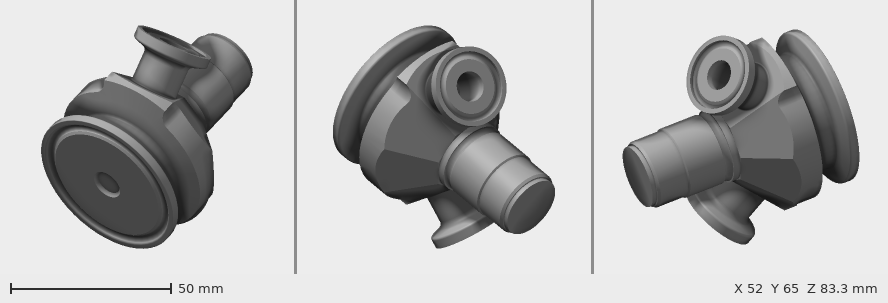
import cadquery as cq
import math

TOTAL_LENGTH = 65.0
CLAMP_SLOPE = math.tan(math.radians(20))
SHARP = 0.0

FLANGE_RADIUS = 50.4 / 2
FLANGE_CONE_Y = 3.0
NECK_RADIUS = 38.0 / 2
NECK_FILLET = 1.0
NECK_BACK_Y = 10.9
RIM_EDGE_ROUND = 0.25
RIM_CONE_ROUND = 0.8

BODY_RADIUS = 26.0
LOBE_RADIUS = 30.0
LOBE_HALF_WIDTH = 11.25
LOBE_FILLET = 4.5
PYRAMID_SIDES = 8
PYRAMID_TOP_Y = 35.0
COLLAR_RADIUS = 24.0 / 2

COLLAR_END_Y = 37.3
STEM_START_Y = 40.0
STEM_RADIUS = 23.0 / 2
RELIEF_RADIUS = 21.8 / 2
STEM_STEP_Y = 52.5
STEM_STEP_CHAMFER = 0.5
STEM_TIP_RADIUS = 22.0 / 2
TIP_CHAMFER_Y = 62.6
TIP_CHAMFER_LENGTH = 0.9
TIP_CHAMFER_RADIUS = 21.0 / 2
SPIGOT_RADIUS = 20.0 / 2

SEAT_RADIUS = 19.7
GROOVE_INNER_RADIUS = 20.5
GROOVE_INNER_DEPTH = 0.6
GROOVE_OUTER_RADIUS = 23.7
GROOVE_DEPTH = 1.4
LIP_ROUND = 0.7
GROOVE_MIDDLE_RADIUS = (GROOVE_INNER_RADIUS + GROOVE_OUTER_RADIUS - LIP_ROUND) / 2
RECESS_MOUTH_RADIUS = 10.0 / 2
RECESS_FLOOR_RADIUS = 8.0 / 2
RECESS_DEPTH = 1.0

PORT_ANGLE = 45
PORT_FACE_Y = 36.75
PORT_FACE_Z = 32.8
PORT_RIM_RADIUS = 12.5
PORT_CONE_DEPTH = 3.4
PORT_TUBE_RADIUS = 15.0 / 2
PORT_NECK_FILLET = 2.0
PORT_BASE_FILLET = 0.5
PORT_SEAT_RADIUS = 8.6
PORT_SEAT_RECESS = 0.7
PORT_GROOVE_INNER = 9.5
PORT_GROOVE_OUTER = 22.0 / 2
PORT_GROOVE_MIDDLE = (PORT_GROOVE_INNER + PORT_GROOVE_OUTER) / 2
PORT_GROOVE_WALL = 1.3
PORT_GROOVE_DEPTH = 1.7
PORT_MOUTH_RADIUS = 4.75
PORT_MOUTH_TAPER = 2.2
PORT_BORE_RADIUS = 9.0 / 2
PORT_LENGTH = (PORT_FACE_Y + PORT_FACE_Z - COLLAR_RADIUS - PYRAMID_TOP_Y) * math.sqrt(0.5)


def shifted(point, target, distance):
    """Point at the given distance from one point towards another."""
    ratio = distance / math.dist(point, target)
    return tuple(p + (t - p) * ratio for p, t in zip(point, target))


def revolved(corners):
    """Revolve an outline of (radius, y, rounding) corners around the Y axis."""
    outline = cq.Workplane("XY").moveTo(*corners[0][:2])
    for i in range(1, len(corners)):
        previous = corners[i - 1][:2]
        corner = corners[i][:2]
        rounding = corners[i][2]
        if not rounding:
            outline = outline.lineTo(*corner)
            continue
        following = corners[i + 1][:2]
        to_previous = shifted((0, 0), (previous[0] - corner[0], previous[1] - corner[1]), 1)
        to_following = shifted((0, 0), (following[0] - corner[0], following[1] - corner[1]), 1)
        half_angle = math.acos(to_previous[0] * to_following[0] + to_previous[1] * to_following[1]) / 2
        start = shifted(corner, previous, rounding / math.tan(half_angle))
        end = shifted(corner, following, rounding / math.tan(half_angle))
        chord_middle = ((start[0] + end[0]) / 2, (start[1] + end[1]) / 2)
        arc_middle = shifted(corner, chord_middle, rounding / math.sin(half_angle) - rounding)
        outline = outline.lineTo(*start).threePointArc(arc_middle, end)
    return outline.close().revolve(360, (0, 0, 0), (0, 1, 0))


def main_cut():
    """Gasket groove and tapered central recess in the clamp face."""
    groove = (
        cq.Workplane("XY")
        .moveTo(SEAT_RADIUS, 0)
        .lineTo(GROOVE_OUTER_RADIUS, 0)
        .threePointArc(
            (GROOVE_OUTER_RADIUS - LIP_ROUND * math.sqrt(0.5), LIP_ROUND * (1 - math.sqrt(0.5))),
            (GROOVE_OUTER_RADIUS - LIP_ROUND, LIP_ROUND),
        )
        .threePointArc((GROOVE_MIDDLE_RADIUS, GROOVE_DEPTH), (GROOVE_INNER_RADIUS, GROOVE_INNER_DEPTH))
        .close()
        .revolve(360, (0, 0, 0), (0, 1, 0))
    )
    recess = revolved([
        (0, 0, SHARP),
        (RECESS_MOUTH_RADIUS, 0, SHARP),
        (RECESS_FLOOR_RADIUS, RECESS_DEPTH, SHARP),
        (0, RECESS_DEPTH, SHARP),
    ])
    return groove.union(recess)


def clamp_neck():
    neck_front_y = FLANGE_CONE_Y + (FLANGE_RADIUS - NECK_RADIUS) * CLAMP_SLOPE
    cone_back_y = NECK_BACK_Y + (LOBE_RADIUS - NECK_RADIUS) * CLAMP_SLOPE
    return revolved([
        (0, 0, SHARP),
        (FLANGE_RADIUS, 0, RIM_EDGE_ROUND),
        (FLANGE_RADIUS, FLANGE_CONE_Y, RIM_CONE_ROUND),
        (NECK_RADIUS, neck_front_y, NECK_FILLET),
        (NECK_RADIUS, NECK_BACK_Y, NECK_FILLET),
        (LOBE_RADIUS, cone_back_y, SHARP),
        (LOBE_RADIUS, PYRAMID_TOP_Y, SHARP),
        (0, PYRAMID_TOP_Y, SHARP),
    ])


def disc(radius, x=0, z=0):
    """Cylinder along Y spanning the clamp face to the pyramid top."""
    return cq.Workplane("XZ").center(x, z).circle(radius).extrude(-PYRAMID_TOP_Y)


def lobed_prism():
    fillet_x = LOBE_HALF_WIDTH + LOBE_FILLET
    fillet_z = math.sqrt((BODY_RADIUS + LOBE_FILLET) ** 2 - fillet_x ** 2)
    touch_x = fillet_x * BODY_RADIUS / (BODY_RADIUS + LOBE_FILLET)
    strip = cq.Workplane("XZ").rect(2 * touch_x, 2 * LOBE_RADIUS).extrude(-PYRAMID_TOP_Y)
    prism = disc(BODY_RADIUS).union(disc(LOBE_RADIUS).intersect(strip))
    for x in (-fillet_x, fillet_x):
        for z in (-fillet_z, fillet_z):
            prism = prism.cut(disc(LOBE_FILLET, x, z))
    return prism


def pyramid():
    corner_scale = 2 / math.cos(math.pi / PYRAMID_SIDES)
    base_apothem = COLLAR_RADIUS + PYRAMID_TOP_Y
    half_step = 180 / PYRAMID_SIDES
    return (
        cq.Workplane("XZ")
        .transformed(rotate=(0, 0, half_step))
        .polygon(PYRAMID_SIDES, base_apothem * corner_scale)
        .workplane(offset=-PYRAMID_TOP_Y)
        .polygon(PYRAMID_SIDES, COLLAR_RADIUS * corner_scale)
        .loft(ruled=True)
    )


def stem():
    step_back_y = STEM_STEP_Y + STEM_STEP_CHAMFER
    tip_end_y = TIP_CHAMFER_Y + TIP_CHAMFER_LENGTH
    return (
        cq.Workplane("XY")
        .moveTo(0, NECK_BACK_Y)
        .lineTo(RELIEF_RADIUS, NECK_BACK_Y)
        .lineTo(RELIEF_RADIUS, PYRAMID_TOP_Y)
        .lineTo(COLLAR_RADIUS, PYRAMID_TOP_Y)
        .lineTo(COLLAR_RADIUS, COLLAR_END_Y)
        .lineTo(STEM_RADIUS, COLLAR_END_Y)
        .threePointArc((RELIEF_RADIUS, (COLLAR_END_Y + STEM_START_Y) / 2), (STEM_RADIUS, STEM_START_Y))
        .lineTo(STEM_RADIUS, STEM_STEP_Y)
        .lineTo(STEM_TIP_RADIUS, step_back_y)
        .lineTo(STEM_TIP_RADIUS, TIP_CHAMFER_Y)
        .lineTo(TIP_CHAMFER_RADIUS, tip_end_y)
        .lineTo(SPIGOT_RADIUS, tip_end_y)
        .lineTo(SPIGOT_RADIUS, TOTAL_LENGTH)
        .lineTo(0, TOTAL_LENGTH)
        .close()
        .revolve(360, (0, 0, 0), (0, 1, 0))
    )


def on_port_axis(shape):
    """Move a shape built from Y = 0 inwards along +Y onto the upper port axis."""
    return shape.rotate((0, 0, 0), (1, 0, 0), 180 + PORT_ANGLE).translate((0, PORT_FACE_Y, PORT_FACE_Z))


def port():
    tube_start = PORT_CONE_DEPTH + (PORT_RIM_RADIUS - PORT_TUBE_RADIUS) * CLAMP_SLOPE
    base_radius = PORT_TUBE_RADIUS + PORT_BASE_FILLET
    return on_port_axis(revolved([
        (0, 0, SHARP),
        (PORT_RIM_RADIUS, 0, SHARP),
        (PORT_RIM_RADIUS, PORT_CONE_DEPTH, RIM_CONE_ROUND),
        (PORT_TUBE_RADIUS, tube_start, PORT_NECK_FILLET),
        (PORT_TUBE_RADIUS, PORT_LENGTH, PORT_BASE_FILLET),
        (base_radius + PORT_BASE_FILLET, PORT_LENGTH, SHARP),
        (base_radius, PORT_LENGTH + PORT_BASE_FILLET, SHARP),
        (0, PORT_LENGTH + PORT_BASE_FILLET, SHARP),
    ]))


def port_cut():
    """Recessed seat with its gasket groove and the bore behind it."""
    seat = (
        cq.Workplane("XY")
        .lineTo(PORT_GROOVE_OUTER, 0)
        .lineTo(PORT_GROOVE_OUTER, PORT_GROOVE_WALL)
        .threePointArc((PORT_GROOVE_MIDDLE, PORT_GROOVE_DEPTH), (PORT_GROOVE_INNER, PORT_GROOVE_WALL))
        .lineTo(PORT_SEAT_RADIUS, PORT_SEAT_RECESS)
        .lineTo(0, PORT_SEAT_RECESS)
        .close()
        .revolve(360, (0, 0, 0), (0, 1, 0))
    )
    bore = revolved([
        (0, 0, SHARP),
        (PORT_MOUTH_RADIUS, 0, SHARP),
        (PORT_MOUTH_RADIUS, PORT_SEAT_RECESS, SHARP),
        (PORT_BORE_RADIUS, PORT_SEAT_RECESS + PORT_MOUTH_TAPER, SHARP),
        (PORT_BORE_RADIUS, PORT_LENGTH, SHARP),
        (0, PORT_LENGTH, SHARP),
    ])
    return on_port_axis(seat.union(bore))


body = clamp_neck().intersect(lobed_prism()).intersect(pyramid()).union(stem())
body = body.union(port()).union(port().mirror("XY"))
result = body.cut(main_cut()).cut(port_cut()).cut(port_cut().mirror("XY"))